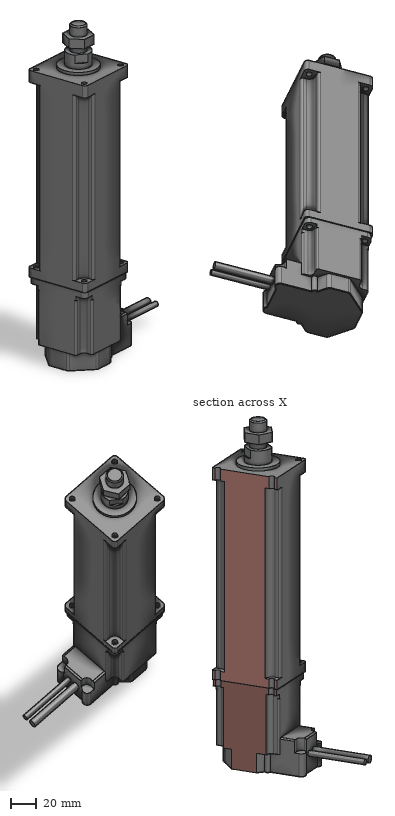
import cadquery as cq
import math

cover_top = 16.5
motor_relief_top = 63.7
motor_flange_bottom = 67.5
motor_top = 73.0
lower_flange_top = 81.0
upper_flange_bottom = 241.2
upper_flange_top = 251.5
pilot_top = 254.2
flats_bottom = 259.0
collar_top = 266.3
nut_bottom = 272.0
nut_thickness = 8.0
rod_tip = 289.5

actuator_width = 58.0
flange_corner_radius = 3.2
flange_hole_offset = 24.0
flange_hole_diameter = 4.5
tube_groove_radius = 5.8
tube_groove_edge_radius = 2.0
pilot_diameter = 35.0

collar_diameter = 22.0
flats_across = 19.0
flats_angle = -38.0
thread_diameter = 14.0
thread_chamfer = 1.2
nut_sides = 6
nut_across_flats = 22.0

motor_width = 56.5
motor_flange_radius = 4.3
motor_hole_offset = 23.5
motor_hole_diameter = 4.5
motor_groove_offset = 23.2
motor_groove_radius = 4.0
motor_groove_edge_radius = 1.5

cover_half_width = 26.5
cover_front_corner = 9.5
cover_front_radius = 3.2
cover_rear_corner = 8.0
cover_rear_radius = 5.5
cover_bottom_chamfer = 0.5
connector_half_width = 18.0
connector_rear = 47.5
connector_top = 30.5
connector_top_chamfer_drop = 1.0
connector_top_chamfer_width = 1.7
post_diameter = 8.0
post_top = 19.7
post_x = connector_half_width - post_diameter / 2
post_y = 45.2
pocket_corner_radius = 4.5
pocket_front = 41.0
pocket_inner_x = 9.3
neck_post_diameter = 5.5
neck_post_x = 17.5
neck_post_y = 17.0

cable_end = 97.3
cable_height = 16.2
cable_offset = 4.0
cable_diameters = {-cable_offset: 6.5, cable_offset: 4.5}


def square_block(width, bottom, top):
    block = cq.Workplane("XY").workplane(offset=bottom)
    return block.rect(width, width).extrude(top - bottom)


def cylinder(diameter, bottom, top, x=0, y=0):
    base = cq.Workplane("XY").workplane(offset=bottom)
    return base.center(x, y).circle(diameter / 2).extrude(top - bottom)


def corner_holes(diameter, offset, bottom, top):
    base = cq.Workplane("XY").workplane(offset=bottom)
    corners = base.rect(2 * offset, 2 * offset, forConstruction=True).vertices()
    return corners.circle(diameter / 2).extrude(top - bottom)


def corner_groove(width, center, radius, edge_radius, bottom, top):
    """Cutter for one corner: a round-bottomed groove whose outer edges are rounded over."""
    face = width / 2
    wall = center - radius
    diagonal_point = center - radius * math.sqrt(0.5)
    edge_center = wall - edge_radius
    edge_point = edge_center + edge_radius * math.sqrt(0.5)
    shoulder = face - edge_radius
    edge_depth = shoulder + edge_radius * math.sqrt(0.5)
    outline = cq.Workplane("XY").workplane(offset=bottom)
    if edge_radius > 0:
        outline = outline.moveTo(edge_center, face)
        outline = outline.threePointArc((edge_point, edge_depth), (wall, shoulder))
    else:
        outline = outline.moveTo(wall, face)
    outline = outline.lineTo(wall, center)
    outline = outline.threePointArc((diagonal_point, diagonal_point), (center, wall))
    outline = outline.lineTo(shoulder, wall)
    if edge_radius > 0:
        outline = outline.threePointArc((edge_depth, edge_point), (face, edge_center))
    return outline.lineTo(face, face).close().extrude(top - bottom)


def cut_corners(body, cutter):
    for quarter in range(4):
        body = body.cut(cutter.rotate((0, 0, 0), (0, 0, 1), 90 * quarter))
    return body


def make_rod():
    collar = cylinder(collar_diameter, upper_flange_top, collar_top)
    collar_flats = (
        cq.Workplane("XY")
        .workplane(offset=flats_bottom)
        .rect(flats_across, collar_diameter)
        .extrude(collar_top - flats_bottom)
        .rotate((0, 0, 0), (0, 0, 1), flats_angle)
    )
    collar = collar.intersect(cylinder(collar_diameter, upper_flange_top, flats_bottom).union(collar_flats))
    thread = cylinder(thread_diameter, collar_top, rod_tip).faces(">Z").chamfer(thread_chamfer)
    nut = (
        cq.Workplane("XY")
        .workplane(offset=nut_bottom)
        .polygon(nut_sides, nut_across_flats, circumscribed=True)
        .extrude(nut_thickness)
    )
    return collar.union(thread).union(nut)


def make_actuator():
    body = square_block(actuator_width, motor_top, upper_flange_top)
    body = body.edges("|Z").fillet(flange_corner_radius)
    groove = corner_groove(
        actuator_width, flange_hole_offset, tube_groove_radius, tube_groove_edge_radius,
        lower_flange_top, upper_flange_bottom,
    )
    body = cut_corners(body, groove)
    for bottom, top in ((upper_flange_bottom, upper_flange_top), (motor_top, lower_flange_top)):
        body = body.cut(corner_holes(flange_hole_diameter, flange_hole_offset, bottom, top))
    pilot = cylinder(pilot_diameter, upper_flange_top, pilot_top)
    return body.union(pilot).union(make_rod())


def make_motor_housing():
    body = square_block(motor_width, cover_top, motor_top)
    body = body.edges("|Z").fillet(motor_flange_radius)
    groove = corner_groove(
        motor_width, motor_groove_offset, motor_groove_radius, motor_groove_edge_radius,
        cover_top, motor_relief_top,
    )
    relief = corner_groove(
        motor_width, motor_groove_offset, motor_groove_radius, 0,
        motor_relief_top, motor_flange_bottom,
    )
    body = cut_corners(body, groove)
    body = cut_corners(body, relief)
    return body.cut(corner_holes(motor_hole_diameter, motor_hole_offset, motor_flange_bottom, motor_top))


def cover_outline():
    rear = cover_rear_corner + cover_half_width - connector_half_width
    right_side = [
        (cover_front_corner, -cover_half_width),
        (cover_half_width, -cover_front_corner),
        (cover_half_width, cover_rear_corner),
        (connector_half_width, rear),
    ]
    left_side = [(-x, y) for x, y in reversed(right_side)]
    return right_side + left_side


def make_cover():
    cover = cq.Workplane("XY").polyline(cover_outline()).close().extrude(cover_top)
    corners = [
        (cover_front_corner, -cover_half_width, cover_front_radius),
        (cover_half_width, -cover_front_corner, cover_front_radius),
        (cover_half_width, cover_rear_corner, cover_rear_radius),
    ]
    for x, y, radius in corners:
        for side in (-1, 1):
            corner_edge = cq.selectors.NearestToPointSelector((side * x, y, cover_top / 2))
            cover = cover.edges(corner_edge).fillet(radius)
    for side in (-1, 1):
        cover = cover.union(cylinder(neck_post_diameter, 0, cover_top, side * neck_post_x, neck_post_y))
    return cover


def connector_block(front, top):
    block = cq.Workplane("XY").center(0, (front + connector_rear) / 2)
    return block.rect(2 * connector_half_width, connector_rear - front).extrude(top)


def make_connector_base():
    base = connector_block(0, post_top)
    for side in (-1, 1):
        corner = cq.Workplane("XY").center(side * connector_half_width, connector_rear)
        base = base.cut(corner.rect(post_diameter, 2 * (connector_rear - post_y)).extrude(post_top))
        base = base.union(cylinder(post_diameter, 0, post_top, side * post_x, post_y))
    return base


def make_connector_head():
    """Upper connector block, from its rear wall to the motor, with a pocket above each post."""
    head = connector_block(motor_width / 2, connector_top)
    head = head.faces(">Z").edges(">Y or <X or >X").chamfer(
        connector_top_chamfer_drop, connector_top_chamfer_width)
    head = head.cut(connector_block(0, post_top))
    pocket_width = 2 * (connector_half_width - pocket_inner_x)
    pocket_length = 2 * (connector_rear - pocket_front)
    for side in (-1, 1):
        pocket = cq.Workplane("XY").workplane(offset=post_top)
        pocket = pocket.center(side * connector_half_width, connector_rear)
        pocket = pocket.rect(pocket_width, pocket_length).extrude(connector_top - post_top)
        inner_edge = cq.selectors.NearestToPointSelector((side * pocket_inner_x, pocket_front, connector_top))
        head = head.cut(pocket.edges("|Z").edges(inner_edge).fillet(pocket_corner_radius))
    return head


def make_cables():
    cables = []
    for x, diameter in cable_diameters.items():
        start = cq.Workplane("XZ", origin=(x, cable_end, cable_height))
        cables.append(start.circle(diameter / 2).extrude(cable_end - connector_rear))
    return cables


def make_motor():
    base = make_cover().union(make_connector_base())
    base = base.faces("<Z").chamfer(cover_bottom_chamfer)
    motor = make_motor_housing().union(base).union(make_connector_head())
    for cable in make_cables():
        motor = motor.union(cable)
    return motor


actuator = make_actuator()
motor = make_motor()
result = cq.Compound.makeCompound([actuator.val(), motor.val()])